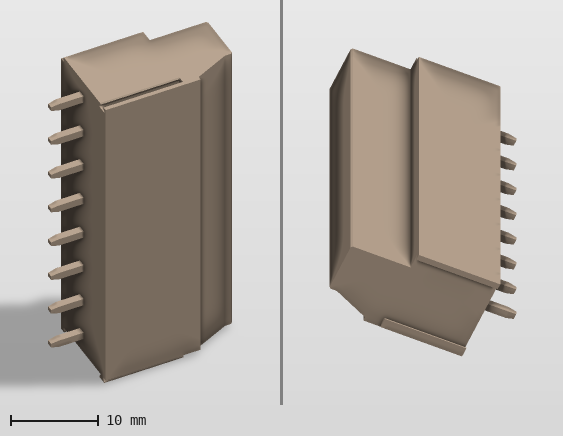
import cadquery as cq

POLE_COUNT = 8
PITCH = 5.0
TOTAL_HEIGHT = 40.65
HOUSING_HEIGHT = POLE_COUNT * PITCH
RIB_HEIGHT = TOTAL_HEIGHT - HOUSING_HEIGHT

WIDTH = 11.2
DEPTH = 17.48
BASE_DEPTH = 10.12
SHOULDER_DEPTH = 12.1
TOWER_LEFT = 2.35
TOWER_RIGHT = 8.7
SLOPE_TOP = 16.5
SLOPE_FOOT = 10.75
CORNER_CHAMFER = 0.2

EDGE_RIB_ROOT = 0.55
EDGE_RIB_TIP = 0.75
DOVETAIL_CENTER = 10.25
DOVETAIL_ROOT = 0.65
DOVETAIL_TIP = 1.2
FLANK_STEP = 0.15
MOUTH_FLARE = 0.12

PIN_CENTER = 5.2
PIN_SIZE = 0.95
PIN_LENGTH = 4.1
TIP_LENGTH = 0.98
TIP_WIDTH = 0.75
TIP_HEIGHT = 0.53


def make_housing():
    return (
        cq.Workplane("XY")
        .moveTo(0, 0)
        .lineTo(WIDTH, 0)
        .lineTo(WIDTH, SHOULDER_DEPTH)
        .lineTo(SLOPE_FOOT, SHOULDER_DEPTH)
        .lineTo(TOWER_RIGHT, SLOPE_TOP)
        .lineTo(TOWER_RIGHT, DEPTH)
        .lineTo(TOWER_LEFT, DEPTH)
        .lineTo(TOWER_LEFT, BASE_DEPTH)
        .lineTo(0, BASE_DEPTH)
        .close()
        .extrude(HOUSING_HEIGHT)
        .faces(">Y")
        .edges("|Z")
        .chamfer(CORNER_CHAMFER)
    )


def make_ribs(root_z, root_flare=0):
    """Edge rib and dovetail rib hanging down from root_z, running along Y from the pin face.

    root_flare widens each flank where it meets root_z.
    """
    upper_z = root_z - FLANK_STEP
    tip_z = root_z - RIB_HEIGHT
    lower_z = tip_z + FLANK_STEP
    root = DOVETAIL_ROOT / 2
    tip = DOVETAIL_TIP / 2
    edge_rib = [
        (0, root_z),
        (EDGE_RIB_ROOT + root_flare, root_z),
        (EDGE_RIB_ROOT, upper_z),
        (EDGE_RIB_TIP, lower_z),
        (EDGE_RIB_TIP, tip_z),
        (0, tip_z),
    ]
    right_flank = [(root + root_flare, root_z), (root, upper_z), (tip, lower_z), (tip, tip_z)]
    dovetail = [(DOVETAIL_CENTER + x, z) for x, z in right_flank]
    dovetail += [(DOVETAIL_CENTER - x, z) for x, z in reversed(right_flank)]
    ribs = cq.Workplane("XZ")
    for outline in (edge_rib, dovetail):
        ribs = ribs.polyline(outline).close()
    return ribs.extrude(-BASE_DEPTH)


def make_pin(z):
    """Square pin with a tapered tip, pointing to -Y."""
    shank_length = PIN_LENGTH - TIP_LENGTH
    shank = (
        cq.Workplane("XZ", origin=(PIN_CENTER, 0, z))
        .rect(PIN_SIZE, PIN_SIZE)
        .extrude(shank_length)
    )
    tip = (
        cq.Workplane("XZ", origin=(PIN_CENTER, -shank_length, z))
        .rect(PIN_SIZE, PIN_SIZE)
        .workplane(offset=TIP_LENGTH)
        .rect(TIP_WIDTH, TIP_HEIGHT)
        .loft(ruled=True)
    )
    return shank.union(tip)


result = make_housing()
result = result.cut(make_ribs(HOUSING_HEIGHT, MOUTH_FLARE))
result = result.union(make_ribs(0))
for pole in range(POLE_COUNT):
    result = result.union(make_pin((pole + 0.5) * PITCH))